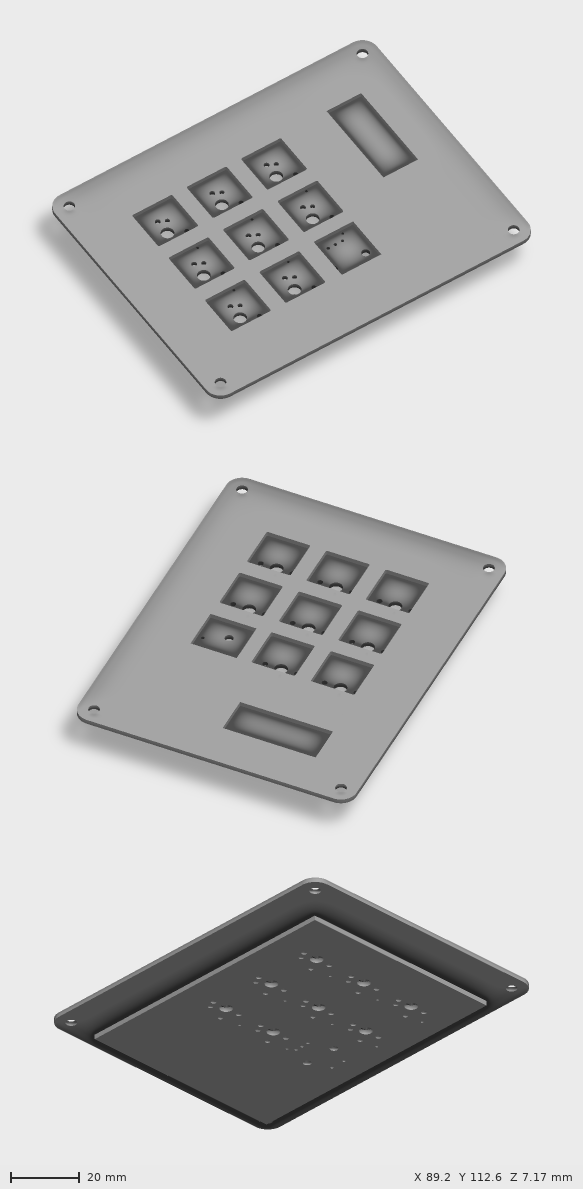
import cadquery as cq

plate_x = 89.2
plate_y = 112.6
plate_thickness = 1.5
corner_radius = 5.0
screw_hole_d = 3.4
screw_inset = 5.0

total_height = 7.17
board_x = 69.25
board_y = 92.6
board_thickness = 1.52
board_center = (-0.2, 0.15)

key_pitch = 19.05
grid_size = 3
grid_center = (-0.1125, -11.575)
last = grid_size - 1
encoder_cell = (last, last)

key_opening = 14.0
key_opening_radius = 0.5
key_opening_shift = (-0.4125, -0.5)

stem_hole_d = 4.0
side_post_d = 1.7
side_post_x = 5.08
contact_d = 1.5
contact_points = [(-3.81, 2.54), (2.54, 5.08)]

diode_hole_d = 0.8
diode_x = 9.5
diode_x_last_column = 8.4
diode_y = 4.2

encoder_shift = (0.1375, 0.15)
encoder_opening_x = 14.8
encoder_opening_y = 13.8
encoder_opening_shift = (-0.65, -0.35)
encoder_pin_d = 1.0
encoder_pin_pitch = 2.5
encoder_signal_x = -7.5
encoder_switch_x = 7.0
encoder_lug_d = 2.6
encoder_lug_y = 5.6

display_x = 29.8
display_y = 12.1
display_center = (-12.6, 36.7)

cutter_height = 4 * total_height


def shifted(point, dx, dy):
    return (point[0] + dx, point[1] + dy)


def cell_center(cell):
    column, row = cell
    middle = last / 2
    return shifted(grid_center, (column - middle) * key_pitch, (row - middle) * key_pitch)


all_cells = [(column, row) for column in range(grid_size) for row in range(grid_size)]
key_cells = [cell for cell in all_cells if cell != encoder_cell]
key_centers = [cell_center(cell) for cell in key_cells]
encoder_center = shifted(cell_center(encoder_cell), *encoder_shift)


def drill(body, points, diameter):
    """Drill straight through the body at each point."""
    drills = cq.Workplane("XY").workplane(offset=-cutter_height / 2).pushPoints(points)
    return body.cut(drills.circle(diameter / 2).extrude(cutter_height))


def rectangular_cutter(center, size_x, size_y):
    return cq.Workplane("XY").center(*center).box(size_x, size_y, cutter_height)


def drill_screw_holes(body):
    screw_x = plate_x / 2 - screw_inset
    screw_y = plate_y / 2 - screw_inset
    points = [(x, y) for x in (-screw_x, screw_x) for y in (-screw_y, screw_y)]
    return drill(body, points, screw_hole_d)


def cut_key_openings(body):
    for center in key_centers:
        cutter = rectangular_cutter(shifted(center, *key_opening_shift), key_opening, key_opening)
        body = body.cut(cutter.edges("|Z").fillet(key_opening_radius))
    return body


def drill_switch_holes(body):
    posts = [shifted(center, x, 0) for center in key_centers for x in (-side_post_x, side_post_x)]
    contacts = [shifted(center, x, y) for center in key_centers for x, y in contact_points]
    body = drill(body, key_centers, stem_hole_d)
    body = drill(body, posts, side_post_d)
    return drill(body, contacts, contact_d)


def drill_diode_holes(body):
    points = []
    for cell in key_cells:
        x = diode_x_last_column if cell[0] == last else diode_x
        points.append(shifted(cell_center(cell), x, diode_y))
    return drill(body, points, diode_hole_d)


def drill_encoder_holes(body):
    signal_pins = [(encoder_signal_x, step * encoder_pin_pitch) for step in (-1, 0, 1)]
    switch_pins = [(encoder_switch_x, side * encoder_pin_pitch) for side in (-1, 1)]
    pins = [shifted(encoder_center, x, y) for x, y in signal_pins + switch_pins]
    lugs = [shifted(encoder_center, 0, y) for y in (-encoder_lug_y, encoder_lug_y)]
    body = drill(body, pins, encoder_pin_d)
    return drill(body, lugs, encoder_lug_d)


def make_plate():
    blank = cq.Workplane("XY").workplane(offset=total_height - plate_thickness)
    body = blank.rect(plate_x, plate_y).extrude(plate_thickness)
    body = body.edges("|Z").fillet(corner_radius)
    body = drill_screw_holes(body)
    body = cut_key_openings(body)
    encoder_opening_center = shifted(encoder_center, *encoder_opening_shift)
    body = body.cut(rectangular_cutter(encoder_opening_center, encoder_opening_x, encoder_opening_y))
    return body.cut(rectangular_cutter(display_center, display_x, display_y))


def make_board():
    body = cq.Workplane("XY").center(*board_center).rect(board_x, board_y).extrude(board_thickness)
    body = drill_switch_holes(body)
    body = drill_diode_holes(body)
    return drill_encoder_holes(body)


plate = make_plate()
board = make_board()
result = cq.Compound.makeCompound([plate.val(), board.val()])